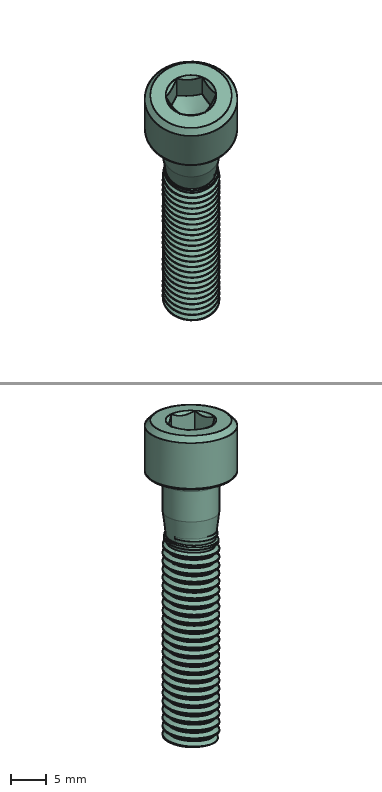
import cadquery as cq
import math


head_diameter = 13.0
head_height = 8.0
head_top_chamfer = 0.8
head_bottom_chamfer = 0.3

socket_width = 6.14
socket_turn = 30.0
socket_depth = 4.0
socket_point_angle = 120.0
countersink_angle = 90.0

shank_diameter = 8.0
shank_length = 40.0
neck_length = 1.15
neck_slope_angle = 30.0
neck_upper_fillet = 0.15
neck_lower_fillet = 0.6
plain_length = 5.75
taper_end = 12.0

pitch = 1.25
thread_angle = 60.0
root_diameter = 6.466
crest_width = pitch / 8
thread_turns = 26
first_crest_height = 0.24
runout_turns = 2
ridge_embed = 0.12

head_radius = head_diameter / 2
shank_radius = shank_diameter / 2
root_radius = root_diameter / 2
taper_slope = (shank_radius - root_radius) / (taper_end - plain_length)
thread_bottom = first_crest_height - pitch - shank_length
thread_top = thread_bottom + thread_turns * pitch
runout_bottom = thread_top - runout_turns * pitch


def make_blank():
    """Head, filleted conical neck, plain shank, taper and thread core as one revolved outline."""
    slope = math.radians(neck_slope_angle)
    upper_z = -neck_upper_fillet * (1 - math.sin(slope))
    lower_z = neck_lower_fillet * math.sin(slope) - neck_length
    lower_radius = shank_radius + neck_lower_fillet * (1 - math.cos(slope))
    upper_radius = lower_radius + (upper_z - lower_z) * math.tan(slope)
    neck_radius = upper_radius + neck_upper_fillet * math.cos(slope)
    upper_middle_angle = (math.radians(90) + slope) / 2
    upper_middle = (
        neck_radius - neck_upper_fillet * math.cos(upper_middle_angle),
        neck_upper_fillet * (math.sin(upper_middle_angle) - 1),
    )
    lower_middle = (
        shank_radius + neck_lower_fillet * (1 - math.cos(slope / 2)),
        neck_lower_fillet * math.sin(slope / 2) - neck_length,
    )
    return (
        cq.Workplane("XZ")
        .moveTo(0, head_height)
        .lineTo(head_radius - head_top_chamfer, head_height)
        .lineTo(head_radius, head_height - head_top_chamfer)
        .lineTo(head_radius, head_bottom_chamfer)
        .lineTo(head_radius - head_bottom_chamfer, 0)
        .lineTo(neck_radius, 0)
        .threePointArc(upper_middle, (upper_radius, upper_z))
        .lineTo(lower_radius, lower_z)
        .threePointArc(lower_middle, (shank_radius, -neck_length))
        .lineTo(shank_radius, -plain_length)
        .lineTo(root_radius, -taper_end)
        .lineTo(root_radius, -shank_length)
        .lineTo(0, -shank_length)
        .close()
        .revolve(360, (0, 0, 0), (0, 1, 0))
    )


def make_cone(radius, full_angle, base_z):
    """Downward-pointing cone with its base circle at base_z."""
    depth = radius / math.tan(math.radians(full_angle / 2))
    return (
        cq.Workplane("XZ", origin=(0, 0, base_z))
        .lineTo(radius, 0)
        .lineTo(0, -depth)
        .close()
        .revolve(360, (0, 0, 0), (0, 1, 0))
    )


def make_socket():
    """Hexagonal recess with a countersunk mouth and a conical bottom."""
    corner_radius = socket_width / math.sqrt(3)
    floor_z = head_height - socket_depth
    hexagon = (
        cq.Workplane("XY", origin=(0, 0, floor_z))
        .polygon(6, 2 * corner_radius)
        .extrude(socket_depth)
        .rotate((0, 0, 0), (0, 0, 1), socket_turn)
    )
    point = make_cone(corner_radius, socket_point_angle, floor_z)
    prism = hexagon.translate((0, 0, -socket_depth))
    countersink = make_cone(corner_radius, countersink_angle, head_height)
    return hexagon.union(point.intersect(prism)).union(countersink)


def sweep_ridge(bottom_z, turns):
    """Left-hand helical ridge whose crest centre starts on the +X side at bottom_z."""
    inner_radius = root_radius - ridge_embed
    crest_half_width = crest_width / 2
    flank_slope = math.tan(math.radians(thread_angle / 2))
    base_half_width = crest_half_width + (shank_radius - inner_radius) * flank_slope
    path = cq.Wire.makeHelix(
        pitch,
        turns * pitch,
        inner_radius,
        center=cq.Vector(0, 0, bottom_z),
        lefthand=True,
    )
    return (
        cq.Workplane("XZ", origin=(0, 0, bottom_z))
        .moveTo(inner_radius, -base_half_width)
        .lineTo(shank_radius, -crest_half_width)
        .lineTo(shank_radius, crest_half_width)
        .lineTo(inner_radius, base_half_width)
        .close()
        .sweep(cq.Workplane(path), isFrenet=True)
    )


def make_full_thread():
    """Full-height ridge, cut off flat at the end of the screw."""
    ridge = sweep_ridge(thread_bottom, thread_turns - runout_turns)
    below_end = (
        cq.Workplane("XY", origin=(0, 0, -shank_length))
        .circle(head_radius)
        .extrude(-2 * pitch)
    )
    return ridge.cut(below_end)


def make_runout():
    """Last turns of the ridge, whose crest narrows until it meets the taper."""
    ridge = sweep_ridge(runout_bottom, runout_turns)
    end_radius = shank_radius - taper_slope * (-thread_top - plain_length)
    crest_slope = (shank_radius - end_radius) / (thread_top - runout_bottom)
    lower_z = runout_bottom - pitch
    upper_z = thread_top + pitch
    envelope = (
        cq.Workplane("XZ")
        .moveTo(0, lower_z)
        .lineTo(shank_radius + crest_slope * pitch, lower_z)
        .lineTo(end_radius - crest_slope * pitch, upper_z)
        .lineTo(0, upper_z)
        .close()
        .revolve(360, (0, 0, 0), (0, 1, 0))
    )
    return ridge.intersect(envelope)


result = make_blank().cut(make_socket())
result = result.union(make_runout())
result = result.union(make_full_thread())